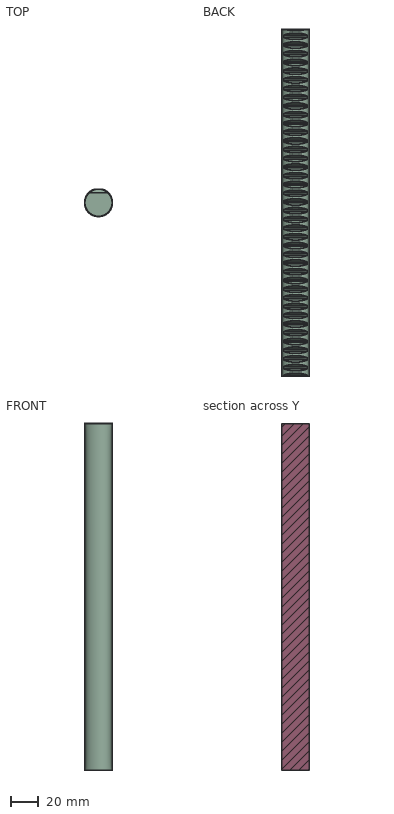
import cadquery as cq
import math

BAR_LENGTH = 250.0
BAR_RADIUS = 10.0

MODULE = 2.0
PITCH = math.pi * MODULE
PRESSURE_ANGLE = math.radians(20)
ADDENDUM = MODULE
DEDENDUM = 1.25 * MODULE

TIP_Y = 9.8
PITCH_LINE_Y = TIP_Y - ADDENDUM
ROOT_Y = PITCH_LINE_Y - DEDENDUM

BOTTOM_Z = -BAR_LENGTH / 2
GAP_COUNT = math.ceil(BAR_LENGTH / PITCH) + 1


def gap_half_width(y):
    """Half the width along Z of a tooth gap at height y."""
    return PITCH / 4 + (y - PITCH_LINE_Y) * math.tan(PRESSURE_ANGLE)


def tooth_gap(center_z):
    """Trapezoidal prism across the whole bar, removed between two teeth."""
    floor = gap_half_width(ROOT_Y)
    mouth = gap_half_width(BAR_RADIUS)
    outline = [
        (ROOT_Y, center_z - floor),
        (BAR_RADIUS, center_z - mouth),
        (BAR_RADIUS, center_z + mouth),
        (ROOT_Y, center_z + floor),
    ]
    return cq.Workplane("YZ").polyline(outline).close().extrude(BAR_RADIUS, both=True)


def crest_cutter():
    """Block above the tooth crests that flattens them along the whole bar."""
    depth = BAR_RADIUS - TIP_Y
    block = cq.Workplane("XY").box(2 * BAR_RADIUS, depth, BAR_LENGTH)
    return block.translate((0, TIP_Y + depth / 2, 0))


bar = cq.Workplane("XY").circle(BAR_RADIUS).extrude(BAR_LENGTH).translate((0, 0, BOTTOM_Z))
result = bar.cut(crest_cutter())
for index in range(GAP_COUNT):
    result = result.cut(tooth_gap(BOTTOM_Z + index * PITCH))